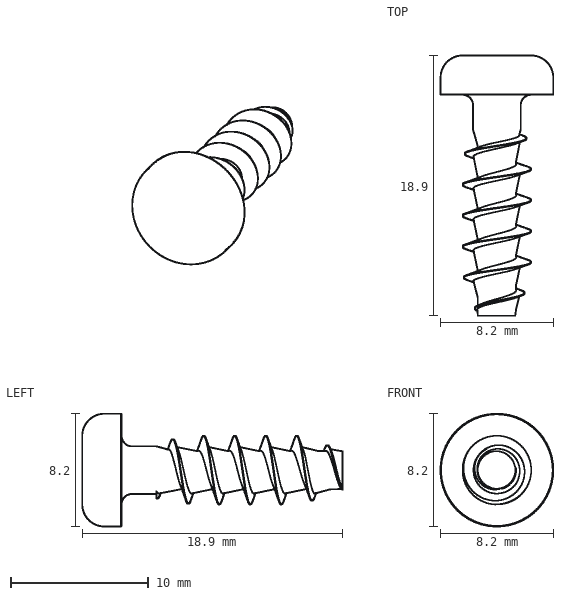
import cadquery as cq
import math

TOTAL_LENGTH = 18.89
HEAD_DIAMETER = 8.2
HEAD_HEIGHT = 2.87
HEAD_CORNER_RADIUS = 1.62
RIM_CHAMFER = 0.05
TIP_Z = HEAD_HEIGHT - TOTAL_LENGTH

SHANK_RADIUS = 1.74
NECK_FILLET = 0.74
SHANK_END_Z = -2.51

CORE_RADIUS = 1.4
BURIED_RADIUS = 1.23
PITCH = 2.25
THREAD_ZERO_Z = -0.89
CREST_RADIUS = 2.5
CREST_LAND = 0.05
FLANK_ANGLE = 17.0
FLANK_SLOPE = math.tan(math.radians(FLANK_ANGLE))
START_CREST_RADIUS = 1.93
END_CREST_RADIUS = 1.28

TAPER_WIDE_RADIUS = 1.7
TAPER_NARROW_RADIUS = 1.38
TAPER_END_RADIUS = 1.25
TURN_GAP = 0.04
RIDGE_HALF_BASE = CREST_LAND / 2 + (CREST_RADIUS - BURIED_RADIUS) * FLANK_SLOPE
TAPER_LENGTH = PITCH - RIDGE_HALF_BASE - TURN_GAP

FIRST_TURN = -0.6
CREST_RISE_TURN = 0.4
FULL_CREST_TURN = 1.9
CREST_FALL_TURN = 5.4
NARROW_FALL_TURN = 4.9
WIDE_FALL_TURN = 5.9
LAST_TURN = 6.9
STRETCHES_PER_TURN = 2
STEPS_PER_STRETCH = 8

NECK_CONE_LENGTH = 1.35
NECK_CONE_RADIUS = 1.36
TIP_RADIUS = 1.35
TIP_CONE_LENGTH = 0.43
HOLLOW_RADIUS = 1.27
HOLLOW_DEPTH = 0.19


def blend(turn, turn_a, value_a, turn_b, value_b):
    """Straight-line change between two turns, constant outside them."""
    share = (turn - turn_a) / (turn_b - turn_a)
    return value_a + (value_b - value_a) * min(1, max(0, share))


def thread_section(turn):
    """Section corners as (radius, height above the ridge centre line), from top to bottom."""
    if turn < FULL_CREST_TURN:
        crest = blend(turn, CREST_RISE_TURN, START_CREST_RADIUS, FULL_CREST_TURN, CREST_RADIUS)
    else:
        crest = blend(turn, CREST_FALL_TURN, CREST_RADIUS, LAST_TURN, END_CREST_RADIUS)
    wide = blend(turn, WIDE_FALL_TURN, TAPER_WIDE_RADIUS, LAST_TURN, TAPER_END_RADIUS)
    narrow = blend(turn, NARROW_FALL_TURN, TAPER_NARROW_RADIUS, WIDE_FALL_TURN, TAPER_END_RADIUS)
    half_land = CREST_LAND / 2
    ridge_foot = -half_land - (crest - wide) * FLANK_SLOPE
    return [
        (BURIED_RADIUS, half_land + (crest - BURIED_RADIUS) * FLANK_SLOPE),
        (crest, half_land),
        (crest, -half_land),
        (wide, ridge_foot),
        (narrow, -TAPER_LENGTH),
        (BURIED_RADIUS, -TAPER_LENGTH),
    ]


def section_points(turn):
    angle = -2 * math.pi * turn
    centre_z = THREAD_ZERO_Z - PITCH * turn
    return [
        cq.Vector(radius * math.cos(angle), radius * math.sin(angle), centre_z + height)
        for radius, height in thread_section(turn)
    ]


def helical_body():
    """Right-handed solid with a section that varies along the helix, built in short stretches."""
    stretch_count = round((LAST_TURN - FIRST_TURN) * STRETCHES_PER_TURN)
    turn_step = 1 / (STRETCHES_PER_TURN * STEPS_PER_STRETCH)
    faces = []
    for stretch in range(stretch_count):
        first_step = stretch * STEPS_PER_STRETCH
        sections = [
            section_points(FIRST_TURN + step * turn_step)
            for step in range(first_step, first_step + STEPS_PER_STRETCH + 1)
        ]
        edges = [cq.Edge.makeSpline(list(path)) for path in zip(*sections)]
        faces += [cq.Face.makeRuledSurface(edges[i - 1], edges[i]) for i in range(len(edges))]

    for turn in (FIRST_TURN, LAST_TURN):
        outline = cq.Wire.makePolygon(section_points(turn), close=True)
        faces.append(cq.Face.makeFromWires(outline))
    body = cq.Solid.makeSolid(cq.Shell.makeShell(faces))
    return cq.Workplane(body.fix())


def make_head():
    head = cq.Workplane().circle(HEAD_DIAMETER / 2).extrude(HEAD_HEIGHT)
    head = head.faces(">Z").edges().fillet(HEAD_CORNER_RADIUS)
    return head.faces("<Z").edges().chamfer(RIM_CHAMFER)


def make_shank():
    arc_inset = NECK_FILLET * (1 - math.sqrt(0.5))
    return (
        cq.Workplane("XZ")
        .lineTo(SHANK_RADIUS + NECK_FILLET, 0)
        .threePointArc((SHANK_RADIUS + arc_inset, -arc_inset), (SHANK_RADIUS, -NECK_FILLET))
        .lineTo(SHANK_RADIUS, SHANK_END_Z)
        .lineTo(0, SHANK_END_Z)
        .close()
        .revolve(360, (0, 0, 0), (0, 1, 0))
    )


def cone(low_z, low_radius, high_z, high_radius):
    return cq.Workplane(
        cq.Solid.makeCone(low_radius, high_radius, high_z - low_z, cq.Vector(0, 0, low_z))
    )


def cylinder(low_z, high_z, radius):
    return cq.Workplane().workplane(offset=low_z).circle(radius).extrude(high_z - low_z)


def make_core():
    tip_cone_top = TIP_Z + TIP_CONE_LENGTH
    tip_cone = cone(TIP_Z, TIP_RADIUS, tip_cone_top, CORE_RADIUS)
    neck_cone = cone(SHANK_END_Z - NECK_CONE_LENGTH, NECK_CONE_RADIUS, SHANK_END_Z, SHANK_RADIUS)
    return cylinder(tip_cone_top, SHANK_END_Z, CORE_RADIUS).union(tip_cone).union(neck_cone)


def make_thread():
    limit = cylinder(TIP_Z, SHANK_END_Z, HEAD_DIAMETER / 2)
    return helical_body().intersect(limit)


def make_tip_hollow():
    return cone(TIP_Z, HOLLOW_RADIUS, TIP_Z + HOLLOW_DEPTH, 0)


screw = make_head().union(make_shank()).union(make_core()).union(make_thread())
screw = screw.cut(make_tip_hollow())

result = screw.rotate((0, 0, 0), (1, 0, 0), -90)